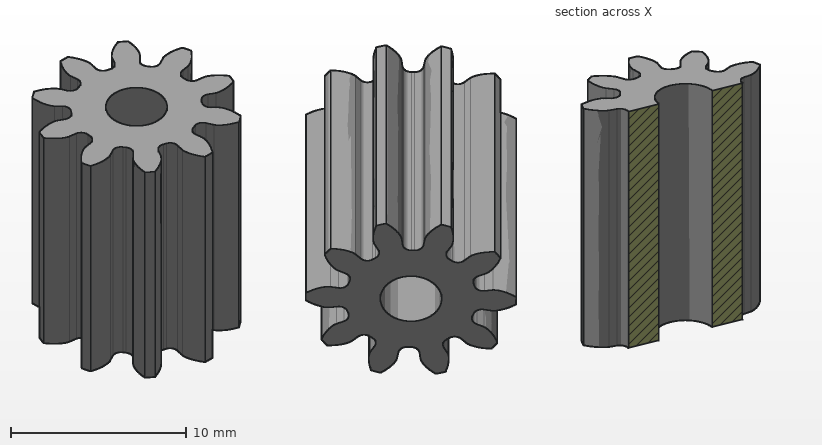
import cadquery as cq
import math

TOOTH_COUNT = 10
MODULE = 1.0
PRESSURE_ANGLE = math.radians(20)
FACE_WIDTH = 15.0
BORE_DIAMETER = 3.5
ADDENDUM = MODULE
DEDENDUM = 1.25 * MODULE
ROOT_FILLET_RADIUS = 0.5 * MODULE
FLANK_POINT_COUNT = 6

pitch_radius = MODULE * TOOTH_COUNT / 2
tip_radius = pitch_radius + ADDENDUM
root_radius = pitch_radius - DEDENDUM
base_radius = pitch_radius * math.cos(PRESSURE_ANGLE)
pitch_angle = 2 * math.pi / TOOTH_COUNT


def involute(pressure_angle):
    """Polar angle swept by an involute at the given local pressure angle."""
    return math.tan(pressure_angle) - pressure_angle


base_half_angle = pitch_angle / 4 + involute(PRESSURE_ANGLE)

fillet_centre_radius = root_radius + ROOT_FILLET_RADIUS
fillet_half_angle = math.asin(ROOT_FILLET_RADIUS / fillet_centre_radius)
fillet_start_radius = math.sqrt(fillet_centre_radius**2 - ROOT_FILLET_RADIUS**2)
root_half_angle = base_half_angle + fillet_half_angle


def polar(radius, angle):
    """Cartesian point at a polar radius and angle."""
    return (radius * math.cos(angle), radius * math.sin(angle))


def flank_points(centre_angle, side):
    """Points from base circle to tip on one flank; side is -1 clockwise, +1 counterclockwise."""
    tip_roll = math.sqrt((tip_radius / base_radius)**2 - 1)
    points = []
    for step in range(FLANK_POINT_COUNT):
        roll = tip_roll * step / (FLANK_POINT_COUNT - 1)
        radius = base_radius * math.sqrt(1 + roll**2)
        half_angle = base_half_angle - involute(math.atan(roll))
        points.append(polar(radius, centre_angle + side * half_angle))
    return points


def fillet_middle(centre_angle, side):
    """Midpoint of the root fillet arc on one side of a tooth."""
    centre_direction = centre_angle + side * root_half_angle
    centre_x, centre_y = polar(fillet_centre_radius, centre_direction)
    root_direction = centre_direction + math.pi
    flank_direction = centre_angle + side * (base_half_angle - math.pi / 2)
    turn = math.remainder(flank_direction - root_direction, 2 * math.pi)
    offset_x, offset_y = polar(ROOT_FILLET_RADIUS, root_direction + turn / 2)
    return (centre_x + offset_x, centre_y + offset_y)


def add_tooth(outline, centre_angle):
    """Add one tooth and the root arc after it, going counterclockwise."""
    rising_flank = flank_points(centre_angle, -1)
    falling_flank = flank_points(centre_angle, 1)[::-1]
    rising_fillet_end = polar(fillet_start_radius, centre_angle - base_half_angle)
    falling_fillet_start = polar(fillet_start_radius, centre_angle + base_half_angle)
    next_root_start = polar(root_radius, centre_angle + pitch_angle - root_half_angle)
    return (
        outline
        .threePointArc(fillet_middle(centre_angle, -1), rising_fillet_end)
        .lineTo(*rising_flank[0])
        .spline(rising_flank[1:], includeCurrent=True)
        .threePointArc(polar(tip_radius, centre_angle), falling_flank[0])
        .spline(falling_flank[1:], includeCurrent=True)
        .lineTo(*falling_fillet_start)
        .threePointArc(
            fillet_middle(centre_angle, 1),
            polar(root_radius, centre_angle + root_half_angle),
        )
        .threePointArc(polar(root_radius, centre_angle + pitch_angle / 2), next_root_start)
    )


gear_outline = cq.Workplane("XY").moveTo(*polar(root_radius, -root_half_angle))
for tooth in range(TOOTH_COUNT):
    gear_outline = add_tooth(gear_outline, tooth * pitch_angle)
gear_body = gear_outline.close().extrude(FACE_WIDTH)

bore = cq.Workplane("XY").circle(BORE_DIAMETER / 2).extrude(FACE_WIDTH)
result = gear_body.cut(bore)